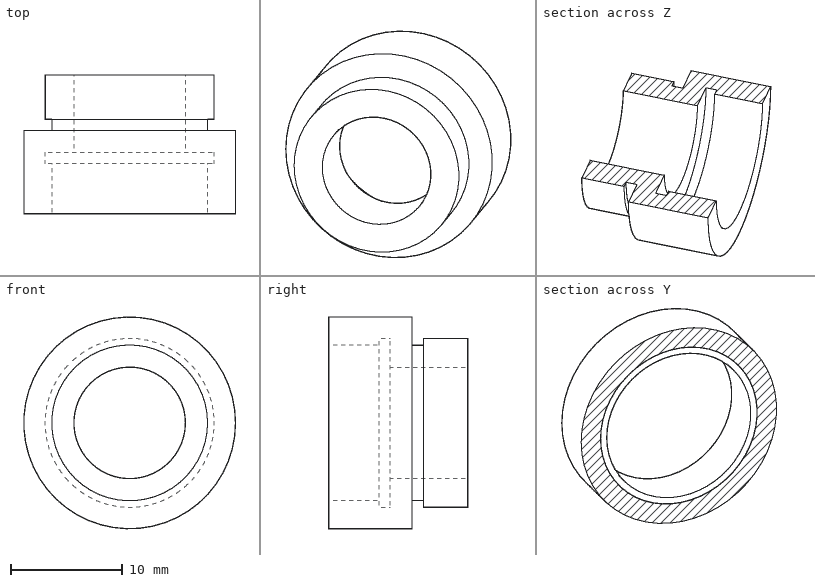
import cadquery as cq

body_diameter = 19.05
collar_diameter = 15.2
neck_diameter = 14.0
bore_diameter = 10.0
counterbore_diameter = 14.0

total_length = 12.5
collar_length = 4.0
neck_length = 1.0
body_length = total_length - collar_length - neck_length
counterbore_depth = 5.5
groove_diameter = 15.2
groove_width = 1.0


def cylinder(diameter, start, length):
    """Cylinder about the Y axis, running toward +Y from Y = start."""
    plane = cq.Plane(origin=(0, start, 0), xDir=(1, 0, 0), normal=(0, 1, 0))
    return cq.Workplane(plane).circle(diameter / 2).extrude(length)


body = cylinder(body_diameter, 0, body_length)
neck = cylinder(neck_diameter, body_length, neck_length)
collar = cylinder(collar_diameter, body_length + neck_length, collar_length)

bore = cylinder(bore_diameter, 0, total_length)
counterbore = cylinder(counterbore_diameter, 0, counterbore_depth)

groove = cylinder(groove_diameter, counterbore_depth - groove_width, groove_width)

result = body.union(neck).union(collar).cut(bore).cut(counterbore).cut(groove)